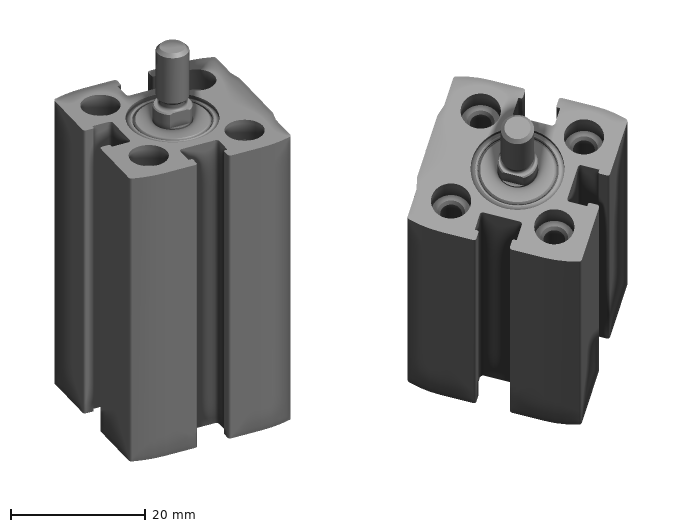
import cadquery as cq
import math

housing_height = 49.5
housing_width = 27.0
half_width = housing_width / 2
half_depth = 13.5
side_flat_half = 8.0
corner_x = 12.6
corner_radius = 0.5
pad_rise = 0.5
pad_top_half = 5.5
pad_foot_half = 7.5

slot_mouth = 5.2
slot_pocket_width = 6.5
slot_floor = 8.55
slot_lip_inner = 11.75
slot_pocket_radius = 0.5
lip_inner_radius = 0.25
lip_outer_radius = 0.4

hole_pitch = 16.0
hole_diameter = 3.24
countersink_diameter = 4.13
counterbore_diameter = 6.0
counterbore_depth = 3.5

rim_outer_diameter = 14.0
rim_inner_diameter = 12.6
rim_groove_depth = 0.6
bearing_bore_diameter = 12.0
bearing_bore_chamfer = 0.15
bearing_face_diameter = 11.1
bearing_shoulder_diameter = 11.7
bearing_gap_depth = 0.5
bearing_recess = 0.2
rod_bore_chamfer = 0.1

rod_diameter = 6.0
rod_flats = 5.0
rod_embedment = 10.0
collar_height = 2.5
collar_chamfer = 0.2
thread_diameter = 5.0
thread_root_diameter = 3.9
neck_fillet = 0.4
thread_start = 4.0
rod_reach = 12.5


def side_arc_points():
    """Middle and end of the arc that leaves the flat side tangentially and ends at the corner."""
    run = half_depth - side_flat_half
    drop = half_width - corner_x
    radius = (run**2 + drop**2) / (2 * drop)
    half_angle = math.asin(run / radius) / 2
    middle = (
        half_width - radius * (1 - math.cos(half_angle)),
        side_flat_half + radius * math.sin(half_angle),
    )
    return middle, (corner_x, half_depth)


def make_outline():
    (mid_x, mid_y), (end_x, end_y) = side_arc_points()
    block = (
        cq.Workplane("XY")
        .moveTo(half_width, -side_flat_half)
        .lineTo(half_width, side_flat_half)
        .threePointArc((mid_x, mid_y), (end_x, end_y))
        .lineTo(pad_foot_half, half_depth)
        .lineTo(pad_top_half, half_depth + pad_rise)
        .lineTo(-pad_top_half, half_depth + pad_rise)
        .lineTo(-pad_foot_half, half_depth)
        .lineTo(-end_x, end_y)
        .threePointArc((-mid_x, mid_y), (-half_width, side_flat_half))
        .lineTo(-half_width, -side_flat_half)
        .threePointArc((-mid_x, -mid_y), (-end_x, -end_y))
        .lineTo(end_x, -end_y)
        .threePointArc((mid_x, -mid_y), (half_width, -side_flat_half))
        .close()
        .extrude(housing_height)
    )
    for x_sign in (-1, 1):
        for y_sign in (-1, 1):
            corner = (x_sign * corner_x, y_sign * half_depth, housing_height / 2)
            block = block.edges(cq.selectors.NearestToPointSelector(corner)).fillet(corner_radius)
    return block


def make_slot():
    """T-slot cutter opening toward -Y; its mouth flares to round the outer lip edges."""
    mouth = slot_mouth / 2
    pocket = slot_pocket_width / 2
    flare = mouth + lip_outer_radius
    flare_start = half_depth - lip_outer_radius
    arc_offset = lip_outer_radius * (1 - math.sqrt(0.5))
    cutter = (
        cq.Workplane("XY")
        .moveTo(-pocket, -slot_floor)
        .lineTo(pocket, -slot_floor)
        .lineTo(pocket, -slot_lip_inner)
        .lineTo(mouth, -slot_lip_inner)
        .lineTo(mouth, -flare_start)
        .threePointArc((mouth + arc_offset, -half_depth + arc_offset), (flare, -half_depth))
        .lineTo(-flare, -half_depth)
        .threePointArc((-mouth - arc_offset, -half_depth + arc_offset), (-mouth, -flare_start))
        .lineTo(-mouth, -slot_lip_inner)
        .lineTo(-pocket, -slot_lip_inner)
        .close()
        .extrude(housing_height)
    )
    for x_sign in (-1, 1):
        floor_corner = (x_sign * pocket, -slot_floor, housing_height / 2)
        lip_corner = (x_sign * mouth, -slot_lip_inner, housing_height / 2)
        cutter = cutter.edges(cq.selectors.NearestToPointSelector(floor_corner)).fillet(slot_pocket_radius)
        cutter = cutter.edges(cq.selectors.NearestToPointSelector(lip_corner)).fillet(lip_inner_radius)
    return cutter


def make_mounting_hole():
    """Through hole with a 45 degree countersink at the floor of its counterbore."""
    seat = housing_height - counterbore_depth
    hole_radius = hole_diameter / 2
    sink_radius = countersink_diameter / 2
    bore_radius = counterbore_diameter / 2
    return (
        cq.Workplane("XZ")
        .lineTo(hole_radius, 0)
        .lineTo(hole_radius, seat - (sink_radius - hole_radius))
        .lineTo(sink_radius, seat)
        .lineTo(bore_radius, seat)
        .lineTo(bore_radius, housing_height)
        .lineTo(0, housing_height)
        .close()
        .revolve(360, (0, 0), (0, 1))
    )


def make_bearing_grooves():
    """Material removed around the rod: the recess with its V groove, and the gap around the bearing."""
    top = housing_height
    face = top - bearing_recess
    rim_recess = (
        cq.Workplane("XZ")
        .moveTo(0, top)
        .lineTo(0, face)
        .lineTo(rim_inner_diameter / 2, face)
        .lineTo(rim_outer_diameter / 2, top - rim_groove_depth)
        .lineTo(rim_outer_diameter / 2, top)
        .close()
        .revolve(360, (0, 0), (0, 1))
    )
    face_radius = bearing_face_diameter / 2
    shoulder_radius = bearing_shoulder_diameter / 2
    bore_radius = bearing_bore_diameter / 2
    rod_radius = rod_diameter / 2
    bearing_gap = (
        cq.Workplane("XZ")
        .moveTo(0, face)
        .lineTo(0, face - rod_bore_chamfer)
        .lineTo(rod_radius, face - rod_bore_chamfer)
        .lineTo(rod_radius + rod_bore_chamfer, face)
        .lineTo(face_radius, face)
        .lineTo(shoulder_radius, face - (shoulder_radius - face_radius))
        .lineTo(shoulder_radius, face - bearing_gap_depth)
        .lineTo(bore_radius, face - bearing_gap_depth)
        .lineTo(bore_radius, face - bearing_bore_chamfer)
        .lineTo(bore_radius + bearing_bore_chamfer, face)
        .close()
        .revolve(360, (0, 0), (0, 1))
    )
    return rim_recess, bearing_gap


def make_housing():
    body = make_outline()
    slot = make_slot()
    for angle in (-90, 0, 90):
        body = body.cut(slot.rotate((0, 0, 0), (0, 0, 1), angle))
    hole = make_mounting_hole()
    for x_sign in (-1, 1):
        for y_sign in (-1, 1):
            body = body.cut(hole.translate((x_sign * hole_pitch / 2, y_sign * hole_pitch / 2, 0)))
    for groove in make_bearing_grooves():
        body = body.cut(groove)
    rod_bore = (
        cq.Workplane("XY", origin=(0, 0, housing_height - rod_embedment))
        .circle(rod_diameter / 2)
        .extrude(rod_embedment)
    )
    return body.cut(rod_bore)


def make_rod():
    """Rod with a flatted collar, a filleted neck and a chamfered thread end."""
    rod_radius = rod_diameter / 2
    thread_radius = thread_diameter / 2
    root_radius = thread_root_diameter / 2
    thread_chamfer = thread_radius - root_radius
    fillet_offset = neck_fillet * (1 - math.sqrt(0.5))
    rod = (
        cq.Workplane("XZ", origin=(0, 0, housing_height))
        .moveTo(0, -rod_embedment)
        .lineTo(rod_radius, -rod_embedment)
        .lineTo(rod_radius, collar_height - collar_chamfer)
        .lineTo(rod_radius - collar_chamfer, collar_height)
        .lineTo(root_radius + neck_fillet, collar_height)
        .threePointArc(
            (root_radius + fillet_offset, collar_height + fillet_offset),
            (root_radius, collar_height + neck_fillet),
        )
        .lineTo(root_radius, thread_start - thread_chamfer)
        .lineTo(thread_radius, thread_start)
        .lineTo(thread_radius, rod_reach - thread_chamfer)
        .lineTo(root_radius, rod_reach)
        .lineTo(0, rod_reach)
        .close()
        .revolve(360, (0, 0), (0, 1))
    )
    for x_sign in (-1, 1):
        flat_cut = (
            cq.Workplane("XY", origin=(x_sign * (rod_flats + rod_diameter) / 2, 0, housing_height))
            .rect(rod_diameter, 2 * rod_diameter)
            .extrude(collar_height)
        )
        rod = rod.cut(flat_cut)
    return rod


housing = make_housing()
rod = make_rod()
result = cq.Compound.makeCompound([housing.val(), rod.val()])